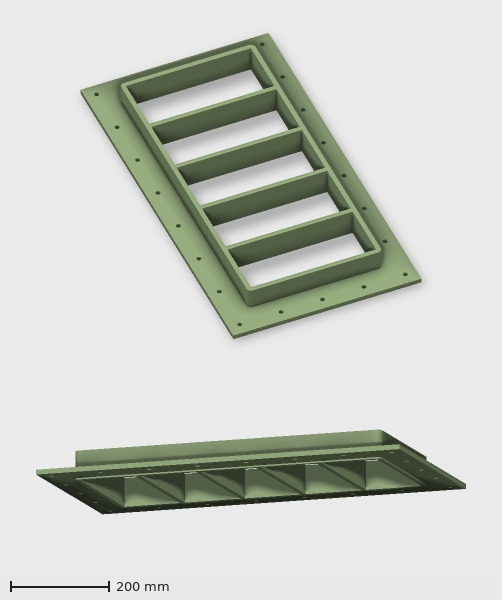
import cadquery as cq

flange_length = 782.5
flange_width = 418.0
flange_thickness = 10.0

total_height = 60.0
frame_drop = 3.0
frame_length = 660.5
frame_width = 298.0
frame_corner_radius = 10.0
wall_thickness = 10.0

opening_count = 5
opening_width = frame_width - 2 * wall_thickness
opening_length = (frame_length - (opening_count + 1) * wall_thickness) / opening_count
opening_pitch = opening_length + wall_thickness

hole_diameter = 10.0
hole_edge_distance = 25.0
holes_along_length = 8
holes_along_width = 5
hole_pitch_x = (flange_length - 2 * hole_edge_distance) / (holes_along_length - 1)
hole_pitch_y = (flange_width - 2 * hole_edge_distance) / (holes_along_width - 1)


def make_flange():
    """Flat plate whose underside lies at Z = 0."""
    return cq.Workplane("XY").box(
        flange_length, flange_width, flange_thickness, centered=(True, True, False)
    )


def make_frame():
    """Solid block with rounded upright corners, before the openings are cut."""
    return (
        cq.Workplane("XY")
        .workplane(offset=-frame_drop)
        .rect(frame_length, frame_width)
        .extrude(total_height)
        .edges("|Z")
        .fillet(frame_corner_radius)
    )


def cut_openings(body):
    """Cut the row of sharp-cornered openings, leaving the cross ribs."""
    openings = (
        cq.Workplane("XY")
        .workplane(offset=-frame_drop)
        .rarray(opening_pitch, 8, opening_count, 1)
        .rect(opening_length, opening_width)
        .extrude(total_height)
    )
    return body.cut(openings)


def cut_bolt_holes(body):
    """Drill one row of through holes along each edge of the flange."""
    span_x = hole_pitch_x * (holes_along_length - 1)
    span_y = hole_pitch_y * (holes_along_width - 1)
    long_rows = cq.Workplane("XY").rarray(hole_pitch_x, span_y, holes_along_length, 2)
    short_rows = cq.Workplane("XY").rarray(span_x, hole_pitch_y, 2, holes_along_width - 2)
    for row in (long_rows, short_rows):
        body = body.cut(row.circle(hole_diameter / 2).extrude(flange_thickness))
    return body


result = make_flange().union(make_frame())
result = cut_openings(result)
result = cut_bolt_holes(result)